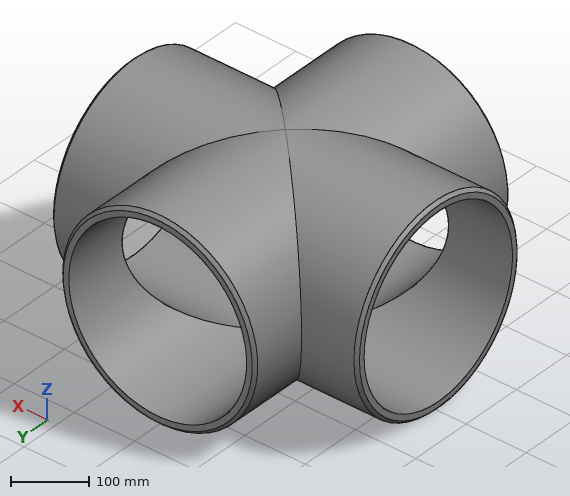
import cadquery as cq

END_TO_END = 508.0
OUTER_DIAMETER = 323.85
WALL = 14.275
BEVEL = 5.0

INNER_DIAMETER = OUTER_DIAMETER - 2 * WALL


def cylinder_along_run(plane, diameter):
    """Cylinder centred on the origin, running along the normal of the named plane."""
    return cq.Workplane(plane).circle(diameter / 2).extrude(END_TO_END / 2, both=True)


def bevelled_run(plane, axis):
    """Solid run with its outer edge bevelled at both ends."""
    run = cylinder_along_run(plane, OUTER_DIAMETER)
    return run.faces(f"<{axis} or >{axis}").edges().chamfer(BEVEL)


def pipe_cross():
    """Join the solid runs, then bore both so that the bores meet openly in the middle."""
    cross = bevelled_run("YZ", "X").union(bevelled_run("XZ", "Y"))
    for plane in ("YZ", "XZ"):
        cross = cross.cut(cylinder_along_run(plane, INNER_DIAMETER))
    return cross


result = pipe_cross()